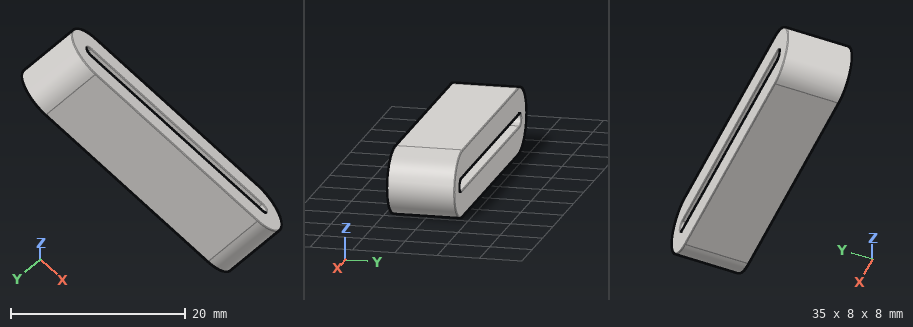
import cadquery as cq

length = 35.0
height = length * 8 / 35
depth = height

slot_length = 30.0
slot_height = 1.5

rim_radius = 0.1


def rounded_bar(bar_length, bar_height):
    """Round-ended bar centred on the origin, with its profile in XZ."""
    return cq.Workplane("XZ").slot2D(bar_length, bar_height).extrude(depth / 2, both=True)


body = rounded_bar(length, height)
slot = rounded_bar(slot_length, slot_height)

result = body.cut(slot).faces("<Y or >Y").edges().fillet(rim_radius)